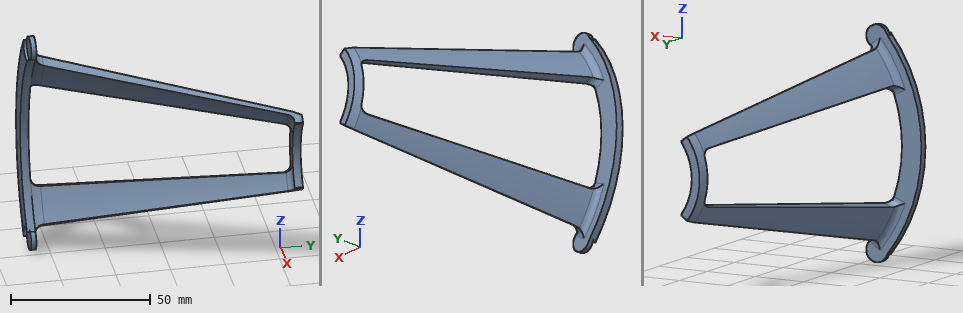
import cadquery as cq
import math

axis_x = 64.3
depth = 96.0
height = 87.0
width = 46.2

arc_outer_radius = axis_x
arc_inner_radius = 56.3
arc_thickness = 3.1
pad_radius = 4.3
pad_step = 1.2
pad_z = height / 2 - pad_radius
pad_orbit = (arc_outer_radius + arc_inner_radius) / 2
pad_angle = math.degrees(math.asin(pad_z / pad_orbit))
pad_x = axis_x - pad_orbit * math.cos(math.radians(pad_angle))

ring_thickness = 3.1
ring_front_y = depth - ring_thickness
ring_inner_radius = 22.4
ring_front_radius = 27.3
ring_back_radius = 25.6

leg_inner_angle = 22.4
leg_outer_angle = 36.9
leg_front_radius = 59.2
leg_foot_y = 6.2
leg_foot_inner_radius = 54.4
leg_back_thickness = 1.7
fillet_radius = 2.9

core_radius = 14.4

plate_inner_radius = core_radius / 2
plate_outer_radius = 72.0


def sweep_profile(profile, start_angle, end_angle):
    """Revolve an XY profile about the common axis; angles rise toward +Z."""
    solid = profile.revolve(end_angle - start_angle, (axis_x, 0, 0), (axis_x, 1, 0))
    return solid.rotate((axis_x, 0, 0), (axis_x, 1, 0), start_angle)


def radial_profile(points):
    """Close a profile given as (radius, y) points."""
    return cq.Workplane("XY").polyline([(axis_x - r, y) for r, y in points]).close()


def band_profile(inner_radius, outer_radius, start_y, end_y):
    return radial_profile([
        (inner_radius, start_y), (outer_radius, start_y),
        (outer_radius, end_y), (inner_radius, end_y),
    ])


def make_pad(side, start_y, end_y):
    plane = cq.Workplane("XZ", origin=(0, start_y, 0))
    return plane.center(pad_x, side * pad_z).circle(pad_radius).extrude(start_y - end_y)


def make_front_arc():
    profile = band_profile(arc_inner_radius, arc_outer_radius, 0, arc_thickness)
    arc = sweep_profile(profile, -pad_angle, pad_angle)
    for side in (-1, 1):
        arc = arc.union(make_pad(side, pad_step, arc_thickness))
        arc = arc.cut(make_pad(side, 0, pad_step))
    return arc


def make_ring():
    profile = radial_profile([
        (ring_inner_radius, ring_front_y), (ring_front_radius, ring_front_y),
        (ring_back_radius, depth), (ring_inner_radius, depth),
    ])
    return sweep_profile(profile, -leg_outer_angle, leg_outer_angle)


def make_leg_blank():
    """Solid leg sector whose sides and outer face blend into the end plates."""
    leg = sweep_profile(radial_profile([
        (core_radius, arc_thickness), (leg_front_radius, arc_thickness),
        (ring_front_radius, ring_front_y), (core_radius, ring_front_y),
    ]), leg_inner_angle, leg_outer_angle)
    front_plate = sweep_profile(
        band_profile(plate_inner_radius, plate_outer_radius, 0, arc_thickness), 0, 2 * leg_outer_angle)
    back_plate = sweep_profile(
        band_profile(plate_inner_radius, plate_outer_radius, ring_front_y, depth), 0, 2 * leg_outer_angle)
    blank = leg.union(front_plate).union(back_plate)

    mid_radius = (core_radius + leg_front_radius) / 2
    corners = [(leg_front_radius, (leg_inner_angle + leg_outer_angle) / 2, arc_thickness)]
    corners += [(mid_radius, angle, arc_thickness) for angle in (leg_inner_angle, leg_outer_angle)]
    corners += [((core_radius + ring_front_radius) / 2, leg_inner_angle, ring_front_y)]
    edges = []
    for radius, angle, y in corners:
        turn = math.radians(angle)
        point = (axis_x - radius * math.cos(turn), y, radius * math.sin(turn))
        edges += blank.edges(cq.selectors.NearestToPointSelector(point)).vals()
    return blank.newObject(edges).fillet(fillet_radius)


def make_leg_envelope():
    """Conical shell that trims the leg, blended round at the small arc and at the foot."""
    back_inner_radius = ring_front_radius - leg_back_thickness
    run = leg_foot_inner_radius - back_inner_radius
    rise = ring_front_y - leg_foot_y
    lean = math.atan2(run, rise)
    tangent = fillet_radius * math.tan((math.pi / 2 - lean) / 2)
    blend_start = (axis_x - back_inner_radius - tangent * math.sin(lean),
                   ring_front_y - tangent * math.cos(lean))
    blend_end = (axis_x - back_inner_radius + tangent, ring_front_y)
    center = (blend_end[0], ring_front_y - fillet_radius)
    bisector = (math.pi / 2 + math.pi - lean) / 2
    blend_mid = (center[0] + fillet_radius * math.cos(bisector),
                 center[1] + fillet_radius * math.sin(bisector))
    profile = (
        cq.Workplane("XY").moveTo(*blend_end)
        .threePointArc(blend_mid, blend_start)
        .lineTo(axis_x - leg_foot_inner_radius, leg_foot_y)
        .tangentArcPoint((axis_x - arc_inner_radius, arc_thickness), relative=False)
        .lineTo(0, arc_thickness)
        .lineTo(0, arc_thickness + fillet_radius)
        .lineTo(axis_x - (leg_front_radius + ring_front_radius) / 2, (arc_thickness + ring_front_y) / 2)
        .lineTo(axis_x - ring_front_radius, ring_front_y)
        .close()
    )
    return sweep_profile(profile, 0, 2 * leg_outer_angle)


upper_leg = make_leg_blank().intersect(make_leg_envelope())
lower_leg = upper_leg.mirror("XY")
frame = make_front_arc().union(make_ring()).union(upper_leg).union(lower_leg)

trim = cq.Workplane("XY").box(width, depth, height, centered=(False, False, True))
result = frame.intersect(trim)